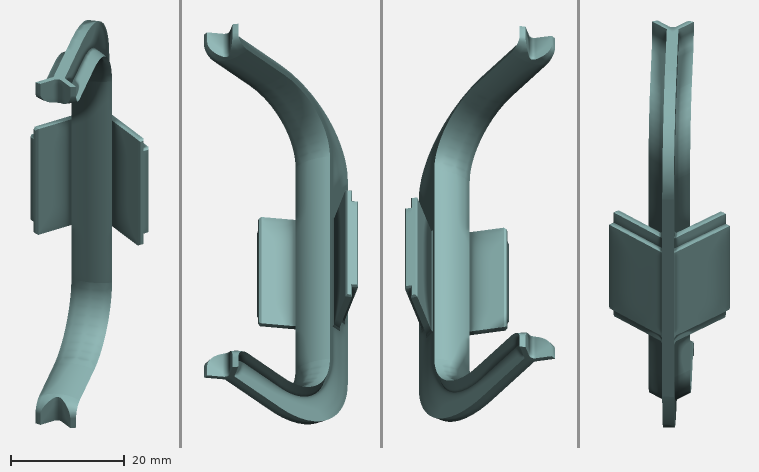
import cadquery as cq
import math

DIAGONAL = math.sqrt(2)

height = 68.0
half_height = height / 2
blade_thickness = 2.05
blade_width = 4.1
arm_depth = 3.95
bend_start = 13.95
outer_bend_reach = 14.8

tip_reach = 24.2
tip_radius = 2.05
wing_length = 5.2
crown = 0.8

wing_thickness = 0.95
notch_radius = 0.95

plate_start = 0.15
plate_step = 1.2
plate_end = 2.4
outer_layer_height = 17.0
inner_layer_height = 21.1
plate_reach = 15.45
tip_bevel_length = 0.4
tip_bevel_inset = 0.3
collar_size = 0.3
collar_length = 0.5

far = 2 * height
half_chord = wing_length / DIAGONAL
edge_shift = wing_length / 2
bend_radius = bend_start - arm_depth
side_offset = blade_thickness / DIAGONAL

bow_plane = cq.Plane(origin=(0, 0, 0), xDir=(1, -1, 0), normal=(-1, -1, 0))


def quarter_turn(path, reach, drop, start, end, turn=1):
    """Quarter ellipse in the bow plane; equal reach and drop make it round as seen along X or Y."""
    return path.ellipseArc(reach * DIAGONAL, drop, start, end, sense=turn)


def inner_path(shift, tip_height):
    """Inner line of the bow from the upper tip to the lower tip."""
    upright = (blade_width + shift) * DIAGONAL
    tip = (tip_reach + shift) * DIAGONAL
    arm_level = half_height - arm_depth
    arm_start = upright + bend_radius * DIAGONAL
    arm_end = tip - tip_radius * DIAGONAL
    bend_level = arm_level - bend_radius
    path = cq.Workplane(bow_plane).moveTo(tip, tip_height).lineTo(tip, arm_level + tip_radius)
    path = quarter_turn(path, tip_radius, tip_radius, 270, 360, -1).lineTo(arm_start, arm_level)
    path = quarter_turn(path, bend_radius, bend_radius, 90, 180).lineTo(upright, -bend_level)
    path = quarter_turn(path, bend_radius, bend_radius, 180, 270).lineTo(arm_end, -arm_level)
    return quarter_turn(path, tip_radius, tip_radius, 0, 90, -1).lineTo(tip, -tip_height)


def region_behind(shift, tip_height, back):
    """Closed outline between the inner line and a straight back."""
    return inner_path(shift, tip_height).lineTo(back, -tip_height).lineTo(back, tip_height).close()


def mirrored(shape):
    """Mirror image on the other side of the bow plane."""
    return shape.mirror(bow_plane.zDir, (0, 0, 0))


def thicken(outline, thickness):
    """Slab made from a closed outline in the bow plane, centered on that plane."""
    return outline.extrude(thickness).translate(bow_plane.zDir * (-thickness / 2))


def blade():
    """C-shaped web, deep enough for its sides to reach the wings' outer faces."""
    root_shift = side_offset / 2
    outer_run = (tip_reach + root_shift) * DIAGONAL
    outer_start = outer_bend_reach * DIAGONAL
    blank = cq.Workplane(bow_plane).moveTo(outer_run, half_height).lineTo(outer_start, half_height)
    blank = quarter_turn(blank, outer_bend_reach, bend_start, 90, 180).lineTo(0, bend_start - half_height)
    blank = quarter_turn(blank, outer_bend_reach, bend_start, 180, 270).lineTo(outer_run, -half_height)
    blank = thicken(blank.close(), blade_thickness)
    opening = inner_path(root_shift, far)
    opening = opening.lineTo(far, -far).lineTo(far, far).close()
    return blank.cut(thicken(opening, blade_thickness))


def crown_cap():
    """Rounded swelling carried along the inner side of the rail."""
    chord_reach = tip_reach + edge_shift
    chord_plane = cq.Plane(
        origin=(chord_reach, -chord_reach, half_height), xDir=(1, -1, 0), normal=(0, 0, 1)
    )
    profile = cq.Workplane(chord_plane).moveTo(0, -half_chord)
    profile = profile.threePointArc((crown, 0), (0, half_chord)).close()
    return profile.sweep(inner_path(edge_shift, half_height))


def side_pocket():
    """Space beside the blade, swept along -Y, that leaves the wing's outer face."""
    outline = region_behind(0, far, -far).wire().val()
    return cq.Workplane(cq.Solid.extrudeLinear(outline, [], cq.Vector(0, -far, 0)))


def tip_notch():
    """Upright V between the two wings, rounded at its root."""
    root = tip_reach + wing_thickness
    notch = cq.Workplane("XY").box(far, far, far, centered=(False, False, True))
    notch = notch.edges("|Z and <X and >Y").fillet(notch_radius)
    return notch.translate((root, -root - far, 0))


def rail():
    """Rib with two wings, a rounded inner face and forked tips."""
    body = thicken(region_behind(edge_shift, half_height, -height), 2 * half_chord)
    body = body.cut(side_pocket()).cut(mirrored(side_pocket()))
    return body.union(crown_cap()).cut(tip_notch())


def stepped_outline(outset, y_at):
    """Stepped plate section, grown by outset and laid on the surface y = y_at(x)."""
    outer_face = plate_start - outset
    step_face = plate_step - outset
    inner_face = plate_end + outset
    outer_top = outer_layer_height / 2 + outset
    inner_top = inner_layer_height / 2 + outset
    upper_half = [
        (inner_face, inner_top),
        (step_face, inner_top),
        (step_face, outer_top),
        (outer_face, outer_top),
    ]
    lower_half = [(x, -z) for x, z in reversed(upper_half)]
    corners = [cq.Vector(x, y_at(x), z) for x, z in upper_half + lower_half]
    return cq.Wire.makePolygon(corners, close=True)


def stretch(first, second):
    """Straight-sided solid between two stepped outlines."""
    return cq.Workplane(cq.Solid.makeLoft([first, second], True))


def plate():
    """Plate along -Y with a flared collar at the blade and a beveled free end."""
    root = stepped_outline(0, lambda x: -x)
    collar_root = stepped_outline(collar_size, lambda x: -x - side_offset)
    collar_end = stepped_outline(0, lambda x: -x - side_offset - collar_length)
    bevel_start = stepped_outline(0, lambda x: tip_bevel_length - plate_reach)
    free_end = stepped_outline(-tip_bevel_inset, lambda x: -plate_reach)
    body = stretch(root, bevel_start).union(stretch(bevel_start, free_end))
    return body.union(stretch(collar_root, collar_end))


result = rail().union(blade()).union(plate()).union(mirrored(plate()))